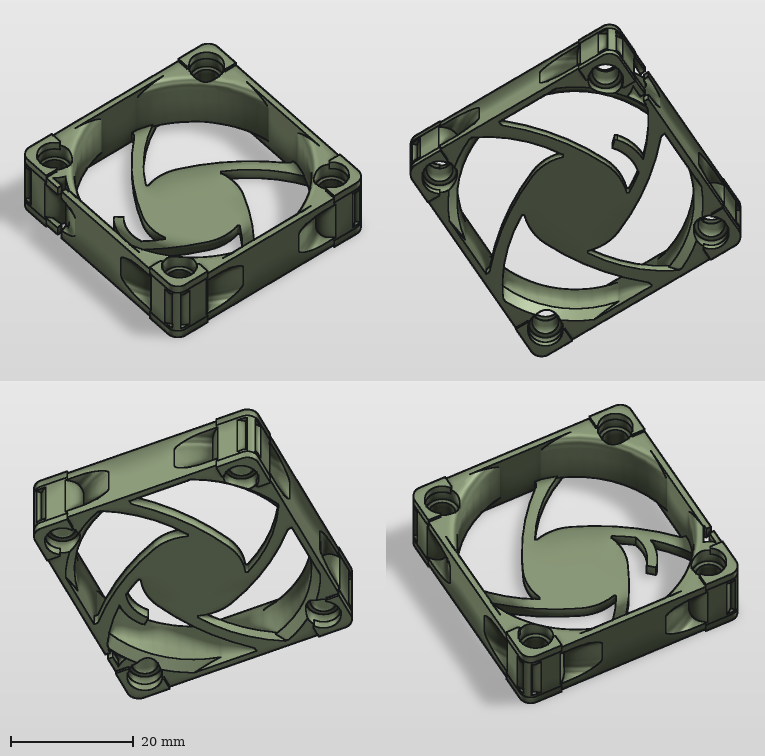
import cadquery as cq
import math

SIDE = 40.05
HEIGHT = 12.0
FRAME_HEIGHT = 11.0
HALF = SIDE / 2
FRAME_TOP = FRAME_HEIGHT / 2
CORNER_RADIUS = 2.0
CORNERS = [(sx, sy) for sx in (-1, 1) for sy in (-1, 1)]

DUCT_RADIUS = 19.3
DUCT_FLARE = 1.8
OUTLET_HEIGHT = 1.6
OUTLET_WIDENING = 1.45
DUCT_FLAT = 18.95

HOLE_OFFSET = 16.02
HOLE_DIAMETER = 4.33
BORE_DIAMETER = 5.73
BORE_FLOOR = 2.65
BOSS_RADIUS = 4.65

POCKET_HALF_HEIGHT = 3.905
SHROUD_RADIUS = 20.87
SHROUD_FLARE = 2.0

GROOVE_INNER = 17.2
GROOVE_ROOT = 18.35
GROOVE_OUTER = 18.85
GROOVE_ROOT_DEPTH = 0.8
GROOVE_ARC_RADIUS = 4.65

PAD_THICKNESS = 1.52
PAD_SIZE = 6.7
PAD_INNER_RADIUS = 22.25
PAD_BOTTOM = HEIGHT / 2 - PAD_THICKNESS

HUB_RADIUS = 8.57
HUB_THICKNESS = 2.0
HUB_TOP = HUB_THICKNESS - FRAME_TOP
HUB_FILLET = 0.25
STRUT_COUNT = 4
LEADING_RADIUS = 41.25
LEADING_ANGLE = -22.4
TRAILING_RADIUS = 26.6
TRAILING_CENTRE = (20.25, -4.55)
STRUT_BASE_X = 2.7
STRUT_BASE_FILLET = 0.8
STRUT_END_Y = 19.45

HOOK_CENTRE = (-1.0, -5.55)
HOOK_INNER_RADIUS = 6.33
HOOK_OUTER_DIAMETER = 16.0
HOOK_TIP_INNER_X = -5.13
HOOK_TIP_OUTER_X = -5.95
HOOK_TIP = (-6.15, -11.5)
HOOK_ROOT_INNER_X = 1.1
HOOK_ROOT_OUTER_X = 0.2

EXIT_WALL = 19.15
EXIT_LEFT = -13.62
EXIT_RIGHT = -8.65
SLIT_LEFT = -10.38
SLIT_WIDTH = 1.0


def prism(sketch, bottom, top):
    """Extrude a closed XY outline between two heights."""
    return sketch.extrude(top - bottom).translate((0, 0, bottom))


def cylinder(x, y, radius, bottom, top):
    return prism(cq.Workplane("XY").center(x, y).circle(radius), bottom, top)


def box(x_min, x_max, y_min, y_max, bottom, top):
    outline = cq.Workplane("XY").moveTo(x_min, y_min).lineTo(x_max, y_min).lineTo(x_max, y_max)
    return prism(outline.lineTo(x_min, y_max).close(), bottom, top)


def rounded_square(bottom, top):
    block = prism(cq.Workplane("XY").rect(SIDE, SIDE), bottom, top)
    return block.edges("|Z").fillet(CORNER_RADIUS)


def point_on_circle(centre, radius, x, side):
    """Point of a circle at a given x, on its upper (+1) or lower (-1) half."""
    return (x, centre[1] + side * math.sqrt(radius**2 - (x - centre[0]) ** 2))


def arc_middle(centre, radius, start, end):
    """Point of a circle halfway between two of its points (shorter arc)."""
    dx = (start[0] + end[0]) / 2 - centre[0]
    dy = (start[1] + end[1]) / 2 - centre[1]
    scale = radius / math.hypot(dx, dy)
    return (centre[0] + dx * scale, centre[1] + dy * scale)


def duct_profile():
    """XZ outline from the axis to the bore wall: cone below, rounded flare above."""
    bend_start = FRAME_TOP - DUCT_FLARE
    bend = DUCT_FLARE * (1 - math.sqrt(0.5))
    return (
        cq.Workplane("XZ")
        .moveTo(0, -FRAME_TOP)
        .lineTo(DUCT_RADIUS + OUTLET_WIDENING, -FRAME_TOP)
        .lineTo(DUCT_RADIUS, OUTLET_HEIGHT - FRAME_TOP)
        .lineTo(DUCT_RADIUS, bend_start)
        .threePointArc(
            (DUCT_RADIUS + bend, FRAME_TOP - bend),
            (DUCT_RADIUS + DUCT_FLARE, FRAME_TOP),
        )
        .lineTo(0, FRAME_TOP)
        .close()
    )


def flared_profile(radius, flare, half_height):
    """XZ outline from the axis to a bore wall that curves outward at both ends."""
    straight = half_height - flare
    bend = flare * (1 - math.sqrt(0.5))
    return (
        cq.Workplane("XZ")
        .moveTo(0, -half_height)
        .lineTo(radius + flare, -half_height)
        .threePointArc((radius + bend, -straight - flare + bend), (radius, -straight))
        .lineTo(radius, straight)
        .threePointArc((radius + bend, straight + flare - bend), (radius + flare, half_height))
        .lineTo(0, half_height)
        .close()
    )


def flared_drum(radius, flare, half_height):
    return flared_profile(radius, flare, half_height).revolve(360, (0, 0, 0), (0, 1, 0))


def duct():
    flats = box(-DUCT_FLAT, DUCT_FLAT, -DUCT_FLAT, DUCT_FLAT, -FRAME_TOP, FRAME_TOP)
    return duct_profile().revolve(360, (0, 0, 0), (0, 1, 0)).intersect(flats)


def side_pockets():
    """Material-free space outside the shroud, less the solid corner posts."""
    bottom, top = -POCKET_HALF_HEIGHT, POCKET_HALF_HEIGHT
    post_reach = math.sqrt(BOSS_RADIUS**2 - (HALF - HOLE_OFFSET) ** 2)
    post_edge = HOLE_OFFSET - post_reach
    space = box(-HALF, HALF, -HALF, HALF, bottom, top)
    space = space.cut(flared_drum(SHROUD_RADIUS, SHROUD_FLARE, POCKET_HALF_HEIGHT))
    for sx, sy in CORNERS:
        space = space.cut(cylinder(sx * HOLE_OFFSET, sy * HOLE_OFFSET, BOSS_RADIUS, bottom, top))
        xs = sorted((sx * post_edge, sx * HALF))
        ys = sorted((sy * post_edge, sy * HALF))
        space = space.cut(box(*xs, *ys, bottom, top))
    return space


def mounting_hole(x, y):
    hole = cylinder(x, y, HOLE_DIAMETER / 2, -FRAME_TOP, FRAME_TOP)
    hole = hole.union(cylinder(x, y, BORE_DIAMETER / 2, BORE_FLOOR, FRAME_TOP))
    return hole.union(cylinder(x, y, BORE_DIAMETER / 2, -FRAME_TOP, -BORE_FLOOR))


def corner_grooves():
    """The pair of V grooves beside the +X +Y corner edge."""
    root = (GROOVE_ROOT, HALF - GROOVE_ROOT_DEPTH)
    corner_centre = HALF - CORNER_RADIUS
    outer_y = corner_centre + math.sqrt(CORNER_RADIUS**2 - (GROOVE_OUTER - corner_centre) ** 2)
    outline = (
        cq.Workplane("XY")
        .moveTo(GROOVE_INNER, HALF)
        .radiusArc(root, GROOVE_ARC_RADIUS)
        .lineTo(GROOVE_OUTER, outer_y)
        .lineTo(GROOVE_OUTER, HALF)
        .close()
    )
    groove = prism(outline, -POCKET_HALF_HEIGHT, POCKET_HALF_HEIGHT)
    return groove.union(groove.mirror("XZ").rotate((0, 0, 0), (0, 0, 1), 90))


def corner_pad(sx, sy):
    """Upper pad at one corner."""
    top = HEIGHT / 2
    xs = sorted((sx * (HALF - PAD_SIZE), sx * HALF))
    ys = sorted((sy * (HALF - PAD_SIZE), sy * HALF))
    pad = rounded_square(PAD_BOTTOM, top).intersect(box(*xs, *ys, PAD_BOTTOM, top))
    bore = cylinder(sx * HOLE_OFFSET, sy * HOLE_OFFSET, BORE_DIAMETER / 2, PAD_BOTTOM, top)
    pad = pad.cut(cylinder(0, 0, PAD_INNER_RADIUS, PAD_BOTTOM, top))
    return pad.cut(bore)


def fillet_upright_edge(plate, x, y, radius):
    """Round the vertical edge of the hub plate or a strut that stands at (x, y)."""
    middle = (x, y, (HUB_TOP - FRAME_TOP) / 2)
    return plate.edges(cq.selectors.NearestToPointSelector(middle)).fillet(radius)


def strut():
    """Strut that leaves the hub on its -X side and runs to the +Y wall."""
    angle = math.radians(LEADING_ANGLE)
    reach = LEADING_RADIUS - HUB_RADIUS
    leading_centre = (reach * math.cos(angle), reach * math.sin(angle))
    tangent = (-HUB_RADIUS * math.cos(angle), -HUB_RADIUS * math.sin(angle))
    base = point_on_circle(leading_centre, LEADING_RADIUS, STRUT_BASE_X, 1)
    end_rise = STRUT_END_Y - TRAILING_CENTRE[1]
    end = (TRAILING_CENTRE[0] - math.sqrt(TRAILING_RADIUS**2 - end_rise**2), STRUT_END_Y)
    root = (TRAILING_CENTRE[0] - TRAILING_RADIUS, TRAILING_CENTRE[1])
    outline = (
        cq.Workplane("XY")
        .moveTo(*tangent)
        .threePointArc(arc_middle(leading_centre, LEADING_RADIUS, tangent, base), base)
        .lineTo(STRUT_BASE_X, STRUT_END_Y)
        .lineTo(*end)
        .threePointArc(arc_middle(TRAILING_CENTRE, TRAILING_RADIUS, end, root), root)
        .close()
    )
    bar = prism(outline, -FRAME_TOP, HUB_TOP)
    return fillet_upright_edge(bar, *base, STRUT_BASE_FILLET)


def hook():
    outer_radius = HOOK_OUTER_DIAMETER / 2
    inner_tip = point_on_circle(HOOK_CENTRE, HOOK_INNER_RADIUS, HOOK_TIP_INNER_X, -1)
    outer_tip = point_on_circle(HOOK_CENTRE, outer_radius, HOOK_TIP_OUTER_X, -1)
    inner_root = point_on_circle(HOOK_CENTRE, HOOK_INNER_RADIUS, HOOK_ROOT_INNER_X, -1)
    outer_root = point_on_circle(HOOK_CENTRE, outer_radius, HOOK_ROOT_OUTER_X, -1)
    outline = (
        cq.Workplane("XY")
        .moveTo(*inner_tip)
        .threePointArc(arc_middle(HOOK_CENTRE, HOOK_INNER_RADIUS, inner_tip, inner_root), inner_root)
        .lineTo(*outer_root)
        .threePointArc(arc_middle(HOOK_CENTRE, outer_radius, outer_root, outer_tip), outer_tip)
        .lineTo(*HOOK_TIP)
        .close()
    )
    return prism(outline, -FRAME_TOP, HUB_TOP)


def hub_corner_angle():
    """Direction of the point where the first strut's trailing edge meets the hub circle."""
    distance = math.hypot(*TRAILING_CENTRE)
    along = (HUB_RADIUS**2 - TRAILING_RADIUS**2 + distance**2) / (2 * distance)
    return math.atan2(TRAILING_CENTRE[1], TRAILING_CENTRE[0]) + math.acos(along / HUB_RADIUS)


def spider():
    """Hub plate with its struts and the cable hook."""
    turns = [i * 360 / STRUT_COUNT for i in range(STRUT_COUNT)]
    plate = cylinder(0, 0, HUB_RADIUS, -FRAME_TOP, HUB_TOP)
    for turn in turns:
        plate = plate.union(strut().rotate((0, 0, 0), (0, 0, 1), turn))
    for turn in turns:
        angle = hub_corner_angle() + math.radians(turn)
        corner = (HUB_RADIUS * math.cos(angle), HUB_RADIUS * math.sin(angle))
        plate = fillet_upright_edge(plate, *corner, HUB_FILLET)
    return plate.union(hook())


def cable_exit():
    opening = box(EXIT_LEFT, EXIT_RIGHT, -EXIT_WALL, -HOLE_OFFSET, -FRAME_TOP, FRAME_TOP)
    opening = opening.cut(cylinder(0, 0, SHROUD_RADIUS, -FRAME_TOP, FRAME_TOP))
    opening = opening.cut(cylinder(-HOLE_OFFSET, -HOLE_OFFSET, BOSS_RADIUS, -FRAME_TOP, FRAME_TOP))
    slit = box(SLIT_LEFT, SLIT_LEFT + SLIT_WIDTH, -HALF, -DUCT_FLAT, -FRAME_TOP, FRAME_TOP)
    return opening.union(slit)


pads = []
for sx, sy in CORNERS:
    upper = corner_pad(sx, sy)
    pads.append(upper)
    pads.append(upper.mirror("XY"))

frame = rounded_square(-FRAME_TOP, FRAME_TOP)
frame = frame.cut(duct()).cut(side_pockets())
for sx, sy in CORNERS:
    frame = frame.cut(mounting_hole(sx * HOLE_OFFSET, sy * HOLE_OFFSET))
for i in range(4):
    frame = frame.cut(corner_grooves().rotate((0, 0, 0), (0, 0, 1), 90 * i))
for pad in pads:
    frame = frame.cut(pad)
frame = frame.union(spider())
frame = frame.cut(cable_exit())

result = cq.Compound.makeCompound([frame.val(), *[pad.val() for pad in pads]])